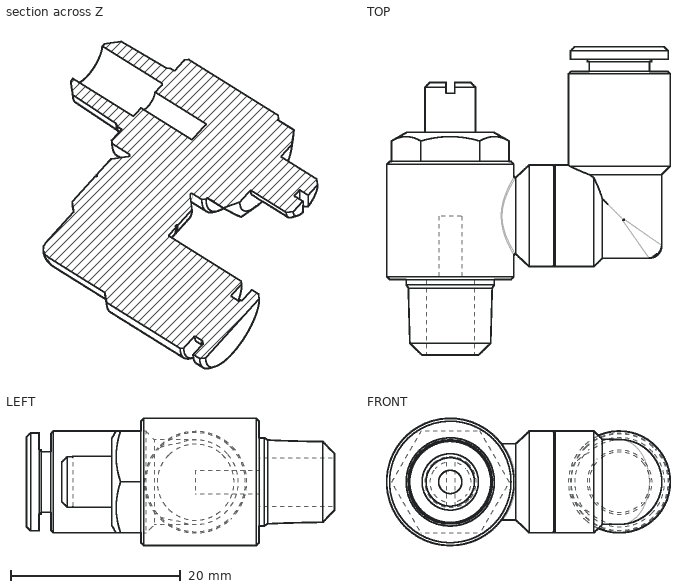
import cadquery as cq
import math


body_radius = 7.5
body_front = -7.5
body_rear = 6.4
body_chamfer = 0.35

collar_radius = 5.2
collar_end = -8.1
thread_start = -8.5
thread_start_radius = 4.95
thread_end = -15.0
thread_end_radius = 4.77
tip_end = -16.4
tip_radius = 3.32

bore_radius = 2.85
bore_bottom = body_front
orifice_radius = 1.37
orifice_bottom = 0.0

hex_across_flats = 12.0
hex_corner_diameter = hex_across_flats / math.cos(math.radians(30))
hex_rear = 9.85
hex_crown_radius = 5.1
hex_crown_drop = 1.05

screw_radius = 3.0
screw_rear = 15.7
screw_chamfer = 0.6
slot_width = 1.0
slot_depth = 1.25

neck_radius = 4.5
neck_fillet = 0.15
sleeve_radius = 6.0
sleeve_cone_start = 7.7
sleeve_start = 9.3
sleeve_end = 16.9
groove_center = 12.25
groove_width = 0.2
groove_depth = 0.15

elbow_radius = 5.0
elbow_rounding = 1.5
elbow_rounding_gap = 0.03
taper = sleeve_radius - elbow_radius
socket_x = 19.9
socket_start = 5.85
socket_rear = 17.0
socket_chamfer = 0.3

ring_neck_radius = 3.57
ring_lip_radius = 3.8
ring_lip_length = 0.25
ring_radius = 5.77
ring_front = 18.4
ring_rear = 19.9
ring_chamfer = 0.5


def revolve_about_y(profile, axis_x=0.0):
    """Turn a (radius, y) profile about a line parallel to Y."""
    turned = cq.Workplane("XY").polyline(profile).close().revolve(360, (0, 0), (0, 1))
    return turned.translate((axis_x, 0, 0))


def make_body():
    return revolve_about_y([
        (0, tip_end),
        (tip_radius, tip_end),
        (thread_end_radius, thread_end),
        (thread_start_radius, thread_start),
        (collar_radius, collar_end),
        (collar_radius, body_front),
        (body_radius - body_chamfer, body_front),
        (body_radius, body_front + body_chamfer),
        (body_radius, body_rear - body_chamfer),
        (body_radius - body_chamfer, body_rear),
        (0, body_rear),
    ])


def make_hex_nut():
    """Hexagon with corners on X, its rear corners turned to a shallow cone."""
    corner_radius = hex_corner_diameter / 2
    prism = (
        cq.Workplane("XZ", origin=(0, hex_rear, 0))
        .polygon(6, hex_corner_diameter)
        .extrude(hex_rear - body_rear)
    )
    crown = revolve_about_y([
        (0, body_rear),
        (corner_radius, body_rear),
        (corner_radius, hex_rear - hex_crown_drop),
        (hex_crown_radius, hex_rear),
        (0, hex_rear),
    ])
    return prism.intersect(crown)


def make_screw():
    shank = revolve_about_y([
        (0, body_rear),
        (screw_radius, body_rear),
        (screw_radius, screw_rear - screw_chamfer),
        (screw_radius - screw_chamfer, screw_rear),
        (0, screw_rear),
    ])
    slot = cq.Workplane("XY").box(slot_width, 2 * slot_depth, 2 * screw_radius)
    return shank.cut(slot.translate((0, screw_rear, 0)))


def make_bore():
    return revolve_about_y([
        (0, tip_end),
        (bore_radius, tip_end),
        (bore_radius, bore_bottom),
        (orifice_radius, bore_bottom),
        (orifice_radius, orifice_bottom),
        (0, orifice_bottom),
    ])


def make_branch():
    """Neck and grooved sleeve, turned about X."""
    groove_radius = sleeve_radius - groove_depth
    groove_start = groove_center - groove_width / 2
    groove_end = groove_center + groove_width / 2
    profile = [
        (0, 0),
        (0, neck_radius),
        (sleeve_cone_start, neck_radius),
        (sleeve_start, sleeve_radius),
        (groove_start, sleeve_radius),
        (groove_start, groove_radius),
        (groove_end, groove_radius),
        (groove_end, sleeve_radius),
        (sleeve_end, sleeve_radius),
        (sleeve_end + taper, elbow_radius),
        (sleeve_end + taper, 0),
    ]
    return cq.Workplane("XY").polyline(profile).close().revolve(360, (0, 0), (1, 0))


def make_body_with_branch():
    """Body and branch joined, with a small fillet where the neck meets the body."""
    joined = make_body().union(make_branch())
    return joined.edges("%BSPLINE").fillet(neck_fillet)


def make_elbow():
    """Round bar mitred at the socket axis, with the outer mitre edge rounded."""
    path = cq.Workplane("XY").polyline([
        (groove_center, 0),
        (socket_x, 0),
        (socket_x, socket_start),
    ])
    bar = (
        cq.Workplane("YZ", origin=(groove_center, 0, 0))
        .circle(elbow_radius)
        .sweep(path, transition="right")
    )
    trimmed_height = 2 * (elbow_radius - elbow_rounding_gap)
    slab = cq.Workplane("XY").box(4 * socket_x, 4 * socket_x, trimmed_height)
    trimmed_bar = bar.intersect(slab)
    outer_corner = (socket_x + elbow_radius, -elbow_radius, 0)
    outer_edge = cq.NearestToPointSelector(outer_corner)
    rounded_bar = trimmed_bar.edges(outer_edge).fillet(elbow_rounding)
    return bar.cut(trimmed_bar.cut(rounded_bar))


def make_socket():
    return revolve_about_y([
        (0, socket_start - taper),
        (elbow_radius, socket_start - taper),
        (sleeve_radius, socket_start),
        (sleeve_radius, socket_rear - socket_chamfer),
        (sleeve_radius - socket_chamfer, socket_rear),
        (ring_neck_radius, socket_rear),
        (ring_neck_radius, ring_front - ring_lip_length),
        (ring_lip_radius, ring_front - ring_lip_length),
        (ring_lip_radius, ring_front),
        (ring_radius, ring_front),
        (ring_radius, ring_rear - ring_chamfer),
        (ring_radius - ring_chamfer, ring_rear),
        (0, ring_rear),
    ], socket_x)


result = (
    make_body_with_branch()
    .union(make_elbow())
    .union(make_socket())
    .union(make_hex_nut())
    .union(make_screw())
    .cut(make_bore())
)